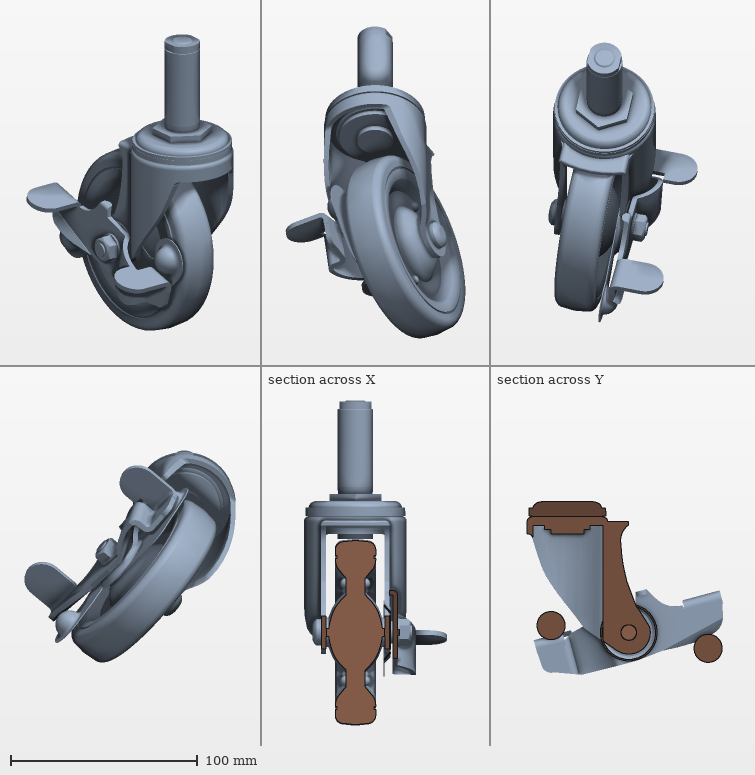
import cadquery as cq
import math


WHEEL_RADIUS = 50.0
WHEEL_X = -32.9
WHEEL_Z = WHEEL_RADIUS
TYRE_HALF_WIDTH = 11.0
SHEET = 2.6
AXLE_RADIUS = 4.0

TREAD_EDGE_Y = 7.3
TREAD_EDGE_RADIUS = 49.2
SHOULDER_RADIUS = 44.5
SHOULDER_MID = (47.6, 9.9)
GROOVE_OUTER_RADIUS = 41.7
GROOVE_INNER_RADIUS = 40.5
GROOVE_DEPTH = 0.9
RIM_RADIUS = 35.3
RIM_Y = 9.7
RIM_CROWN = 0.3
WEB_RADIUS = 29.9
WEB_Y = 5.2
DOME_RADIUS = 21.5
DOME_MID = (15.7, 10.8)
COLLAR_RADIUS = 7.8
DOME_TOP_Y = 14.5
RIVET_PITCH_RADIUS = 26.0
RIVET_RADIUS = 2.8

HEAD_RADIUS = 27.5
ARM_INNER_Y = 15.7
ARM_OUTER_Y = ARM_INNER_Y + SHEET
ARM_BEND_RADIUS = 8.7
ARM_END_RADIUS = 11.7
ARM_PROFILE_X = -45.2
HEAD_SKIRT_Z = 102.6
SHELF_TOP_Z = 109.7
HEAD_TOP_Z = 112.2
HEAD_FILLET = 2.8
SHELF_EDGE_X = -32.3
SHELF_TIP_X = -35.6
SHELF_SIDE_FILLET = 2.5
SHELF_EDGE_FILLET = 1.0
RACE_RADIUS = 19.1
RACE_LEDGE_RADIUS = 20.9
RACE_LEDGE_Z = 105.0

CAP_RADIUS = 26.8
CAP_LINE_Z = 115.0
CAP_SHOULDER_Z = 116.7
CAP_DOME_RADIUS = 25.0
CAP_FLAT_RADIUS = 21.0
CAP_TOP_Z = 120.2
CAP_DOME_MID = (23.8, 119.1)
CAP_SEAM = 0.2
HEX_ACROSS_FLATS = 27.8
HEX_TOP_Z = 124.0
STEM_RADIUS = 9.5
STEM_NECK_RADIUS = 9.2
STEM_NECK_TOP_Z = 125.0
STEM_RING_Z = 127.6
STEM_TIP_Z = 169.2
TIP_RADIUS = 9.4
TIP_TOP_Z = 173.4
TIP_ACROSS_FLATS = 17.0
BUTTON_RADIUS = 5.5
BUTTON_TOP_RADIUS = 4.9
TOTAL_HEIGHT = 173.9
STEM_FOOT_RADIUS = 9.5
STEM_FOOT_Z = 99.8

BOLT_HEAD_RADIUS = 7.1
BOLT_HEAD_RIM = 2.5
BOLT_HEAD_TOP_RADIUS = 2.6
BOLT_HEAD_HEIGHT = 4.7
BOLT_HEAD_MID_RADIUS = 5.5
BOLT_HEAD_MID_HEIGHT = 4.0
SPACER_RADIUS = 6.0
NUT_FLANGE_RADIUS = 7.7
NUT_FLANGE = 1.2
NUT_ACROSS_FLATS = 12.5
NUT_CROWN_RADIUS = 5.5
NUT_HEIGHT = 5.9
NUT_CROWN_HEIGHT = 1.5
BOLT_TIP = 0.9
BOLT_TIP_RADIUS = 3.7

PLATE_SHEET = 0.5
EAR_RADIUS = 12.0
LEFT_EAR = (-75.3, 41.5)
RIGHT_EAR = (8.7, 53.7)
LOWER_LOBE = (-7.0, 38.5)
PAD_RADIUS = 7.7
PAD_FLARE = 1.7
PAD_FLARE_ANGLE = 13.0
PAD_FLARE_SAG = 0.5
DISH_RADIUS = 16.5
DISH_FLOOR_RADIUS = 13.4

PEDAL_TILT = 15.0
PEDAL_INNER_Y = -19.8
PEDAL_OUTER_Y = PEDAL_INNER_Y - SHEET
PEDAL_LEFT = -52.9
PEDAL_RIGHT = 50.0
PEDAL_REACH = 26.0
BULGE_RADIUS = 25.65
BULGE_PEAK = (29.4, -32.5)
BULGE_CORNER_RADIUS = 4.7
BULGE_FOOT_RADIUS = 1.7
BULGE_START_FILLET = 1.4
TAB_TOP = 9.0
TAB_BEND_RADIUS = 4.7
TAB_WIDTH = 20.7
LEFT_TAB_TIP_Y = -47.3
RIGHT_TAB_TIP_Y = -49.0
FLAP_LEFT = -15.3
FLAP_WIDTH = 6.0
FLAP_FILLET = 2.0
FLAP_TOP = 19.8
FLAP_TIP_Y = -17.9
FLARE_ANGLE = 30.0
CREASE_START = (-51.0, -5.5)
CREASE_END = (-15.0, -14.3)
BLADE_EDGE = TAB_TOP - TAB_BEND_RADIUS


def disc_y(radius, y_from, y_to, x=WHEEL_X, z=WHEEL_Z):
    """Cylinder along Y between two Y positions."""
    plane = cq.Workplane("XZ", origin=(x, y_from, z))
    return plane.circle(radius).extrude(y_from - y_to)


def turned_about_axle(profile):
    """Revolve a closed profile sketched in X (radius) and Y about the axle."""
    return profile.revolve(360, (0, 0, 0), (0, 1, 0)).translate((WHEEL_X, 0, WHEEL_Z))


def circle_at(radius, center, angle):
    """Point on a circle at an angle in degrees."""
    turn = math.radians(angle)
    return (center[0] + radius * math.cos(turn), center[1] + radius * math.sin(turn))


def wheel_face_recess():
    """Everything removed outside one wheel face, from the hub collar out to the tyre shoulder."""
    groove_y = TYRE_HALF_WIDTH - GROOVE_DEPTH
    rim_mid = ((GROOVE_INNER_RADIUS + RIM_RADIUS) / 2, (TYRE_HALF_WIDTH + RIM_Y) / 2 + RIM_CROWN)
    profile = (
        cq.Workplane("XY")
        .moveTo(COLLAR_RADIUS, ARM_INNER_Y)
        .lineTo(COLLAR_RADIUS, DOME_TOP_Y)
        .threePointArc(DOME_MID, (DOME_RADIUS, WEB_Y))
        .lineTo(WEB_RADIUS, WEB_Y)
        .lineTo(RIM_RADIUS, RIM_Y)
        .threePointArc(rim_mid, (GROOVE_INNER_RADIUS, TYRE_HALF_WIDTH))
        .lineTo(GROOVE_INNER_RADIUS, groove_y)
        .lineTo(GROOVE_OUTER_RADIUS, groove_y)
        .lineTo(GROOVE_OUTER_RADIUS, TYRE_HALF_WIDTH)
        .lineTo(SHOULDER_RADIUS, TYRE_HALF_WIDTH)
        .lineTo(SHOULDER_RADIUS, ARM_INNER_Y)
        .close()
    )
    return turned_about_axle(profile)


def make_wheel():
    blank = (
        cq.Workplane("XY")
        .moveTo(AXLE_RADIUS, -ARM_INNER_Y)
        .lineTo(SHOULDER_RADIUS, -ARM_INNER_Y)
        .lineTo(SHOULDER_RADIUS, -TYRE_HALF_WIDTH)
        .threePointArc((SHOULDER_MID[0], -SHOULDER_MID[1]), (TREAD_EDGE_RADIUS, -TREAD_EDGE_Y))
        .threePointArc((WHEEL_RADIUS, 0), (TREAD_EDGE_RADIUS, TREAD_EDGE_Y))
        .threePointArc(SHOULDER_MID, (SHOULDER_RADIUS, TYRE_HALF_WIDTH))
        .lineTo(SHOULDER_RADIUS, ARM_INNER_Y)
        .lineTo(AXLE_RADIUS, ARM_INNER_Y)
        .close()
    )
    recess = wheel_face_recess()
    solid = turned_about_axle(blank).cut(recess).cut(recess.mirror("XZ"))
    for side in (1, -1):
        for height in (RIVET_PITCH_RADIUS, -RIVET_PITCH_RADIUS):
            rivet = cq.Workplane("XY").sphere(RIVET_RADIUS)
            solid = solid.union(rivet.translate((WHEEL_X, side * WEB_Y, WHEEL_Z + height)))
    return solid


def fork_plan(inset):
    """U-shaped plan of the fork, at a distance inside the outer sheet face, as a full block."""
    radius = HEAD_RADIUS - inset
    arm_y = ARM_OUTER_Y - inset
    bend = ARM_BEND_RADIUS + inset
    bend_y = arm_y + bend
    bend_x = -math.sqrt((radius + bend) ** 2 - bend_y ** 2)
    share = radius / (radius + bend)
    joint_x = bend_x * share
    joint_y = bend_y * share
    return (
        cq.Workplane("XY")
        .moveTo(ARM_PROFILE_X, arm_y)
        .lineTo(bend_x, arm_y)
        .radiusArc((joint_x, joint_y), -bend)
        .threePointArc((radius, 0), (joint_x, -joint_y))
        .radiusArc((bend_x, -arm_y), -bend)
        .lineTo(ARM_PROFILE_X, -arm_y)
        .close()
        .extrude(SHELF_TOP_Z)
    )


def fork_side_outline():
    """Side view shape of both arms and of the head skirt."""
    axle = (WHEEL_X, WHEEL_Z)
    reach = 2 * HEAD_RADIUS
    return (
        cq.Workplane("XZ", origin=(0, reach, 0))
        .moveTo(reach, SHELF_TOP_Z)
        .lineTo(reach, HEAD_SKIRT_Z)
        .lineTo(20.9, HEAD_SKIRT_Z)
        .threePointArc((19.3, 101.9), (18.6, 100.3))
        .spline([(16.3, 93.0), (12.7, 83.0), (8.9, 76.2), (-2.6, 60.9), (-9.4, 52.0)], includeCurrent=True)
        .lineTo(*circle_at(ARM_END_RADIUS, axle, -55))
        .threePointArc(circle_at(ARM_END_RADIUS, axle, -115), circle_at(ARM_END_RADIUS, axle, 165))
        .lineTo(-36.5, 65.2)
        .lineTo(-32.0, 77.2)
        .spline([(-29.7, 87.8), (-28.7, 98.3)], includeCurrent=True)
        .threePointArc((-29.4, 103.1), (SHELF_EDGE_X, SHELF_TOP_Z - SHEET))
        .lineTo(SHELF_EDGE_X, SHELF_TOP_Z)
        .close()
        .extrude(2 * reach)
    )


def make_fork():
    walls = fork_plan(0).cut(fork_plan(SHEET)).intersect(fork_side_outline())

    shelf = (
        cq.Workplane("XY", origin=(0, 0, SHELF_TOP_Z - SHEET))
        .moveTo(0, ARM_OUTER_Y)
        .lineTo(SHELF_EDGE_X, ARM_OUTER_Y)
        .threePointArc((SHELF_TIP_X, 0), (SHELF_EDGE_X, -ARM_OUTER_Y))
        .lineTo(0, -ARM_OUTER_Y)
        .close()
        .extrude(SHEET)
        .edges("%CIRCLE and >Z")
        .fillet(SHELF_EDGE_FILLET)
    )
    bend_cover = (
        cq.Workplane("XY", origin=(ARM_PROFILE_X / 2, 0, SHELF_TOP_Z - SHEET))
        .rect(-ARM_PROFILE_X, 2 * ARM_OUTER_Y)
        .extrude(SHEET)
        .edges("|X and >Z")
        .fillet(SHELF_SIDE_FILLET)
    )
    upper_zone = (
        cq.Workplane("XY", origin=(0, 0, SHELF_TOP_Z - SHEET))
        .rect(4 * HEAD_RADIUS, 4 * HEAD_RADIUS)
        .extrude(SHEET)
    )
    head = (
        cq.Workplane("XY", origin=(0, 0, SHELF_TOP_Z - SHEET))
        .circle(HEAD_RADIUS)
        .extrude(HEAD_TOP_Z - SHELF_TOP_Z + SHEET)
        .faces(">Z")
        .edges()
        .fillet(HEAD_FILLET)
    )
    race = (
        cq.Workplane("XY", origin=(0, 0, HEAD_SKIRT_Z))
        .circle(RACE_RADIUS)
        .extrude(SHELF_TOP_Z - HEAD_SKIRT_Z)
    )
    race_ledge = (
        cq.Workplane("XY", origin=(0, 0, RACE_LEDGE_Z))
        .circle(RACE_LEDGE_RADIUS)
        .extrude(SHELF_TOP_Z - RACE_LEDGE_Z)
    )
    solid = walls.union(shelf).cut(upper_zone.cut(bend_cover))
    solid = solid.union(head).union(race).union(race_ledge)
    solid = solid.cut(cq.Workplane("XY").circle(STEM_FOOT_RADIUS).extrude(TOTAL_HEIGHT))
    return solid.cut(disc_y(AXLE_RADIUS, HEAD_RADIUS, -HEAD_RADIUS))


def make_stem():
    turned = (
        cq.Workplane("XZ")
        .moveTo(0, STEM_FOOT_Z)
        .lineTo(STEM_FOOT_RADIUS, STEM_FOOT_Z)
        .lineTo(STEM_FOOT_RADIUS, HEAD_TOP_Z)
        .lineTo(CAP_RADIUS, HEAD_TOP_Z)
        .lineTo(CAP_RADIUS, CAP_LINE_Z)
        .lineTo(CAP_RADIUS - CAP_SEAM, CAP_LINE_Z)
        .lineTo(CAP_RADIUS - CAP_SEAM, CAP_SHOULDER_Z)
        .lineTo(CAP_DOME_RADIUS, CAP_SHOULDER_Z)
        .threePointArc(CAP_DOME_MID, (CAP_FLAT_RADIUS, CAP_TOP_Z))
        .lineTo(STEM_NECK_RADIUS, CAP_TOP_Z)
        .lineTo(STEM_NECK_RADIUS, STEM_NECK_TOP_Z)
        .lineTo(TIP_RADIUS, STEM_NECK_TOP_Z)
        .lineTo(STEM_RADIUS, STEM_RING_Z)
        .lineTo(STEM_RADIUS, STEM_TIP_Z)
        .lineTo(TIP_RADIUS, STEM_TIP_Z + STEM_RADIUS - TIP_RADIUS)
        .lineTo(TIP_RADIUS, TIP_TOP_Z)
        .lineTo(BUTTON_RADIUS, TIP_TOP_Z)
        .lineTo(BUTTON_TOP_RADIUS, TOTAL_HEIGHT)
        .lineTo(0, TOTAL_HEIGHT)
        .close()
        .revolve(360, (0, 0, 0), (0, 1, 0))
    )
    hexagon = (
        cq.Workplane("XY", origin=(0, 0, CAP_TOP_Z))
        .transformed(rotate=(0, 0, 30))
        .polygon(6, HEX_ACROSS_FLATS, circumscribed=True)
        .extrude(HEX_TOP_Z - CAP_TOP_Z)
    )
    flats_y = TIP_ACROSS_FLATS / 2
    flats = (
        cq.Workplane("XY", origin=(0, 0, STEM_TIP_Z + STEM_RADIUS - TIP_RADIUS))
        .pushPoints([(0, flats_y + TIP_RADIUS), (0, -flats_y - TIP_RADIUS)])
        .rect(4 * TIP_RADIUS, 2 * TIP_RADIUS)
        .extrude(TOTAL_HEIGHT)
    )
    return turned.union(hexagon).cut(flats)


def make_axle():
    head_mid = (BOLT_HEAD_MID_RADIUS, ARM_OUTER_Y + BOLT_HEAD_MID_HEIGHT)
    head = (
        cq.Workplane("XY")
        .moveTo(0, ARM_OUTER_Y)
        .lineTo(BOLT_HEAD_RADIUS, ARM_OUTER_Y)
        .lineTo(BOLT_HEAD_RADIUS, ARM_OUTER_Y + BOLT_HEAD_RIM)
        .threePointArc(head_mid, (BOLT_HEAD_TOP_RADIUS, ARM_OUTER_Y + BOLT_HEAD_HEIGHT))
        .lineTo(0, ARM_OUTER_Y + BOLT_HEAD_HEIGHT)
        .close()
    )
    flange_y = PEDAL_OUTER_Y - NUT_FLANGE
    nut_y = flange_y - NUT_HEIGHT
    nut = (
        cq.Workplane("XZ", origin=(WHEEL_X, flange_y, WHEEL_Z))
        .polygon(6, NUT_ACROSS_FLATS, circumscribed=True)
        .extrude(NUT_HEIGHT)
    )
    crown = disc_y(NUT_FLANGE_RADIUS, flange_y, nut_y).faces("<Y").chamfer(
        NUT_CROWN_HEIGHT, NUT_FLANGE_RADIUS - NUT_CROWN_RADIUS
    )
    solid = turned_about_axle(head).union(disc_y(AXLE_RADIUS, ARM_OUTER_Y, nut_y))
    solid = solid.union(disc_y(SPACER_RADIUS, -ARM_OUTER_Y - PLATE_SHEET, PEDAL_INNER_Y))
    solid = solid.union(disc_y(NUT_FLANGE_RADIUS, PEDAL_OUTER_Y, flange_y))
    solid = solid.union(nut.intersect(crown))
    return solid.union(disc_y(BOLT_TIP_RADIUS, nut_y, nut_y - BOLT_TIP))


def plate_prism(points):
    return (
        cq.Workplane("XZ", origin=(0, PLATE_SHEET - ARM_INNER_Y, 0))
        .polyline(points)
        .close()
        .extrude(PLATE_SHEET)
    )


def make_brake_pad(center):
    """Rounded pad standing on the plate, with a flared foot."""
    pad_mid = circle_at(PAD_RADIUS, (0, 0), 45)
    foot_mid = (PAD_RADIUS + PAD_FLARE_SAG, PAD_FLARE_SAG)
    pad = (
        cq.Workplane("XY")
        .moveTo(0, 0)
        .lineTo(PAD_RADIUS + PAD_FLARE, 0)
        .threePointArc(foot_mid, circle_at(PAD_RADIUS, (0, 0), PAD_FLARE_ANGLE))
        .threePointArc(pad_mid, (0, PAD_RADIUS))
        .close()
        .revolve(360, (0, 0, 0), (0, 1, 0))
    )
    return pad.mirror("XZ").translate((center[0], -ARM_INNER_Y, center[1]))


def make_brake_plate():
    plate_back = PLATE_SHEET - ARM_INNER_Y
    axle = (WHEEL_X, WHEEL_Z)
    bar = [
        circle_at(EAR_RADIUS, LEFT_EAR, -62),
        (-56.3, 38.3),
        circle_at(DISH_RADIUS, axle, 200),
        circle_at(DISH_RADIUS, axle, 120),
        circle_at(EAR_RADIUS, LEFT_EAR, 62),
    ]
    neck = [
        circle_at(DISH_RADIUS, axle, -110),
        circle_at(EAR_RADIUS, LOWER_LOBE, -105),
        circle_at(EAR_RADIUS, LOWER_LOBE, -45),
        circle_at(EAR_RADIUS, RIGHT_EAR, -45),
        circle_at(EAR_RADIUS, RIGHT_EAR, 180),
        (-5.2, 48.7),
        circle_at(DISH_RADIUS, axle, 20),
    ]
    solid = disc_y(DISH_RADIUS + PLATE_SHEET, plate_back, -ARM_INNER_Y)
    solid = solid.union(plate_prism(bar)).union(plate_prism(neck))
    for center in (LEFT_EAR, RIGHT_EAR, LOWER_LOBE):
        solid = solid.union(disc_y(EAR_RADIUS, plate_back, -ARM_INNER_Y, *center))

    floor_y = ARM_OUTER_Y + PLATE_SHEET
    dish = (
        cq.Workplane("XY")
        .moveTo(AXLE_RADIUS, -floor_y + PLATE_SHEET)
        .lineTo(AXLE_RADIUS, -floor_y)
        .lineTo(DISH_FLOOR_RADIUS, -floor_y)
        .lineTo(DISH_RADIUS, -ARM_INNER_Y)
        .lineTo(DISH_RADIUS, -ARM_INNER_Y + PLATE_SHEET)
        .lineTo(DISH_RADIUS - PLATE_SHEET, -ARM_INNER_Y + PLATE_SHEET)
        .lineTo(DISH_FLOOR_RADIUS - PLATE_SHEET, -floor_y + PLATE_SHEET)
        .close()
    )
    opening = disc_y(DISH_RADIUS, 0, -HEAD_RADIUS)
    solid = solid.cut(opening).union(turned_about_axle(dish))
    for center in (LEFT_EAR, RIGHT_EAR):
        solid = solid.union(make_brake_pad(center))
    return solid


def pedal_strip():
    """Sheet bent into a bulge, extruded over the full pedal height."""
    peak_x, peak_y = BULGE_PEAK
    center_y = peak_y + BULGE_RADIUS
    inner_radius = BULGE_RADIUS - SHEET
    start_outer = peak_x - math.sqrt(BULGE_RADIUS ** 2 - (center_y - PEDAL_OUTER_Y) ** 2)
    start_inner = peak_x - math.sqrt(inner_radius ** 2 - (center_y - PEDAL_INNER_Y) ** 2)
    wall_x = peak_x + BULGE_CORNER_RADIUS
    corner_inner = BULGE_CORNER_RADIUS - SHEET
    foot_inner = BULGE_FOOT_RADIUS + SHEET
    foot_x = wall_x + BULGE_FOOT_RADIUS
    foot_y = PEDAL_OUTER_Y - BULGE_FOOT_RADIUS
    strip = (
        cq.Workplane("XY", origin=(0, 0, -PEDAL_REACH))
        .moveTo(PEDAL_LEFT, PEDAL_OUTER_Y)
        .lineTo(start_outer, PEDAL_OUTER_Y)
        .radiusArc(BULGE_PEAK, -BULGE_RADIUS)
        .radiusArc((wall_x, peak_y + BULGE_CORNER_RADIUS), -BULGE_CORNER_RADIUS)
        .lineTo(wall_x, foot_y)
        .radiusArc((foot_x, PEDAL_OUTER_Y), BULGE_FOOT_RADIUS)
        .lineTo(PEDAL_RIGHT, PEDAL_OUTER_Y)
        .lineTo(PEDAL_RIGHT, PEDAL_INNER_Y)
        .lineTo(foot_x, PEDAL_INNER_Y)
        .radiusArc((wall_x - SHEET, foot_y), -foot_inner)
        .lineTo(wall_x - SHEET, peak_y + BULGE_CORNER_RADIUS)
        .radiusArc((peak_x, peak_y + SHEET), corner_inner)
        .radiusArc((start_inner, PEDAL_INNER_Y), inner_radius)
        .lineTo(PEDAL_LEFT, PEDAL_INNER_Y)
        .close()
        .extrude(2 * PEDAL_REACH)
    )
    strip = strip.edges(cq.selectors.NearestToPointSelector((start_outer, PEDAL_OUTER_Y, 0)))
    strip = strip.fillet(BULGE_START_FILLET)
    strip = strip.edges(cq.selectors.NearestToPointSelector((start_inner, PEDAL_INNER_Y, 0)))
    return strip.fillet(BULGE_START_FILLET + SHEET)


def pedal_outline():
    return (
        cq.Workplane("XZ")
        .moveTo(PEDAL_LEFT, BLADE_EDGE)
        .lineTo(-32.2, BLADE_EDGE)
        .lineTo(-31.5, 6.5)
        .spline([(-27.8, 7.0), (-24.2, 8.3), (-19.0, 13.4), (FLAP_LEFT, FLAP_TOP)], includeCurrent=True)
        .lineTo(FLAP_LEFT + FLAP_WIDTH, FLAP_TOP)
        .lineTo(-7.8, 14.3)
        .lineTo(7.8, 13.0)
        .lineTo(29.4, 7.7)
        .lineTo(34.8, BLADE_EDGE)
        .lineTo(PEDAL_RIGHT, BLADE_EDGE)
        .lineTo(49.4, -6.5)
        .threePointArc((47.5, -9.2), (43.8, -10.5))
        .lineTo(30.0, -15.5)
        .lineTo(8.3, -15.8)
        .lineTo(-0.3, -15.8)
        .lineTo(*CREASE_END)
        .lineTo(*CREASE_START)
        .close()
        .extrude(2 * HEAD_RADIUS)
    )


def pedal_tab(left, tip_y):
    """Foot tab bent outward from the top edge of the sheet, with a rounded end."""
    inner = TAB_BEND_RADIUS - SHEET
    straight_y = PEDAL_INNER_Y - TAB_BEND_RADIUS
    bent = (
        cq.Workplane("YZ", origin=(left, 0, 0))
        .moveTo(PEDAL_INNER_Y, BLADE_EDGE - SHEET)
        .lineTo(PEDAL_INNER_Y, BLADE_EDGE)
        .radiusArc((straight_y, TAB_TOP), -TAB_BEND_RADIUS)
        .lineTo(tip_y, TAB_TOP)
        .lineTo(tip_y, TAB_TOP - SHEET)
        .lineTo(straight_y, TAB_TOP - SHEET)
        .radiusArc((PEDAL_OUTER_Y, BLADE_EDGE), inner)
        .lineTo(PEDAL_OUTER_Y, BLADE_EDGE - SHEET)
        .close()
        .extrude(TAB_WIDTH)
    )
    end_radius = TAB_WIDTH / 2
    plan = (
        cq.Workplane("XY")
        .moveTo(left, 0)
        .lineTo(left, tip_y + end_radius)
        .threePointArc((left + end_radius, tip_y), (left + TAB_WIDTH, tip_y + end_radius))
        .lineTo(left + TAB_WIDTH, 0)
        .close()
        .extrude(TAB_TOP)
    )
    return bent.intersect(plan)


def pedal_flap():
    """Small stop bent inward from the top edge, rounded at its end."""
    half = FLAP_WIDTH / 2
    return (
        cq.Workplane("XY", origin=(0, 0, FLAP_TOP - SHEET))
        .moveTo(FLAP_LEFT, PEDAL_OUTER_Y)
        .lineTo(FLAP_LEFT, PEDAL_INNER_Y)
        .threePointArc((FLAP_LEFT + half, FLAP_TIP_Y), (FLAP_LEFT + FLAP_WIDTH, PEDAL_INNER_Y))
        .lineTo(FLAP_LEFT + FLAP_WIDTH, PEDAL_OUTER_Y)
        .close()
        .extrude(SHEET)
    )


def pedal_flare():
    """Lower left edge of the sheet, turned outward along a slanting crease."""
    run_x = CREASE_END[0] - CREASE_START[0]
    run_z = CREASE_END[1] - CREASE_START[1]
    crease_length = math.hypot(run_x, run_z)
    crease_angle = math.degrees(math.atan2(run_z, run_x))
    leaf = (
        cq.Workplane("XZ")
        .rect(3 * crease_length, crease_length)
        .extrude(SHEET)
        .rotate((0, 0, 0), (1, 0, 0), -FLARE_ANGLE)
    )
    outline = (
        cq.Workplane("XZ")
        .moveTo(0, 0)
        .lineTo(1.7, -1.9)
        .threePointArc((4.7, -4.0), (8.7, -4.9))
        .spline([(20.3, -4.2), (28.9, -2.3), (crease_length, 0)], includeCurrent=True)
        .close()
        .extrude(HEAD_RADIUS, both=True)
    )
    leaf = leaf.intersect(outline).rotate((0, 0, 0), (0, 1, 0), -crease_angle)
    return leaf.translate((CREASE_START[0], PEDAL_INNER_Y, CREASE_START[1]))


def make_pedal():
    solid = pedal_strip().intersect(pedal_outline()).union(pedal_flap())
    flap_bend = (FLAP_LEFT + FLAP_WIDTH / 2, PEDAL_OUTER_Y, FLAP_TOP)
    solid = solid.edges(cq.selectors.NearestToPointSelector(flap_bend)).fillet(FLAP_FILLET)

    right_tab_left = PEDAL_RIGHT - TAB_WIDTH
    peak_x, peak_y = BULGE_PEAK
    notch = (
        cq.Workplane("XY")
        .moveTo(right_tab_left - SHEET, 0)
        .lineTo(right_tab_left - SHEET, peak_y)
        .lineTo(peak_x + BULGE_CORNER_RADIUS, peak_y)
        .lineTo(peak_x + BULGE_CORNER_RADIUS, 0)
        .close()
        .extrude(PEDAL_REACH)
    )
    solid = solid.union(pedal_tab(PEDAL_LEFT, LEFT_TAB_TIP_Y))
    solid = solid.union(pedal_tab(right_tab_left, RIGHT_TAB_TIP_Y).cut(notch))
    solid = solid.union(pedal_flare())
    solid = solid.cut(disc_y(AXLE_RADIUS, 0, -HEAD_RADIUS, 0, 0))
    solid = solid.rotate((0, 0, 0), (0, 1, 0), PEDAL_TILT)
    return solid.translate((WHEEL_X, 0, WHEEL_Z))


wheel = make_wheel()
fork = make_fork()
stem = make_stem()
axle = make_axle()
brake_plate = make_brake_plate().cut(fork)
pedal = make_pedal()

bodies = [wheel, fork, stem, axle, brake_plate, pedal]
result = cq.Compound.makeCompound([body.solids().val() for body in bodies])